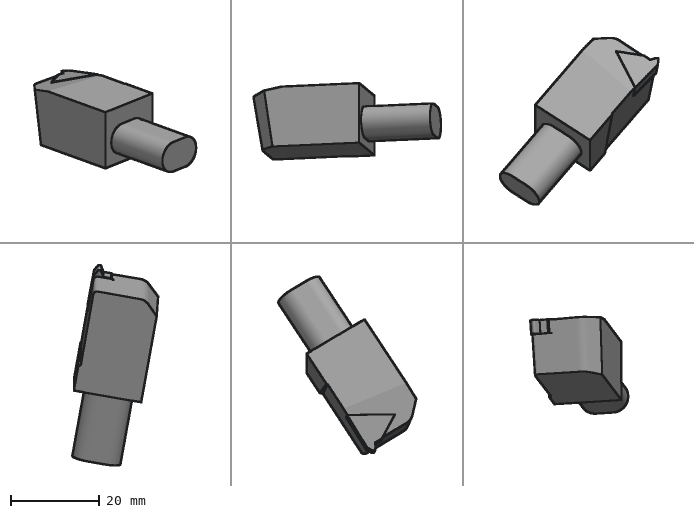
import cadquery as cq
import math

total_length = 43.35
total_width = 15.5
head_length = 27.3
head_height = 13.8

shank_width = 11.15
shank_height = 7.25
shank_center_y = 7.5
shank_center_z = 5.75

fold_x_at_front = 9.3
fold_x_at_back = 11.6
rake_slope = math.tan(math.radians(10))

nose_x = 1.65
corner_cut = 3.5
corner_radius = 3.0
back_corner_radius = 0.85
relief_depth = 0.15
relief_end_x = 18.4

insert_thickness = 3.15
insert_proud = 0.11
insert_front_x = 1.47
insert_corner_y = 11.53
tip_center_y = 14.4
tip_radius = 0.45
insert_vertex_x = 4.65
triangle_angle = math.radians(60)

fold_skew = (fold_x_at_back - fold_x_at_front) / total_width


def rake_height(x, y):
    """Z of the rake face, extended without end, above a plan position."""
    return head_height + rake_slope * (x - fold_x_at_front - fold_skew * y)


rake_plane = cq.Plane(
    origin=(0, 0, rake_height(0, 0)),
    xDir=(1, 0, rake_slope),
    normal=(-rake_slope, rake_slope * fold_skew, 1),
)


def on_rake(x, y):
    """Rake-plane coordinates of the point above a plan position."""
    local = rake_plane.toLocalCoords(cq.Vector(x, y, rake_height(x, y)))
    return local.x, local.y


def make_nose_envelope():
    """Prism square to the rake face that trims the nose and relieves its back side."""
    margin = total_width
    relief_y = total_width - relief_depth
    front_corner = (nose_x, corner_cut)
    back_corner = (nose_x, relief_y)
    outline = [
        front_corner,
        (nose_x + corner_cut + margin, -margin),
        (total_length, -margin),
        (total_length, total_width + margin),
        (relief_end_x + margin, relief_y + margin),
        (relief_end_x, relief_y),
        back_corner,
    ]
    envelope = (
        cq.Workplane(rake_plane)
        .polyline([on_rake(*point) for point in outline])
        .close()
        .extrude(total_length, both=True)
    )
    for corner, radius in ((front_corner, corner_radius), (back_corner, back_corner_radius)):
        point = rake_plane.toWorldCoords(on_rake(*corner))
        along_normal = cq.selectors.ParallelDirSelector(rake_plane.zDir)
        nearest = cq.selectors.NearestToPointSelector(point.toTuple())
        envelope = envelope.edges(along_normal).edges(nearest).fillet(radius)
    return envelope


def make_head():
    block = cq.Workplane("XY").box(head_length, total_width, head_height, centered=False)
    above_rake = (
        cq.Workplane(rake_plane)
        .rect(2 * total_length, 2 * total_length)
        .extrude(total_length)
    )
    return block.cut(above_rake).intersect(make_nose_envelope())


def make_shank():
    return (
        cq.Workplane("YZ", origin=(head_length, 0, 0))
        .center(shank_center_y, shank_center_z)
        .slot2D(shank_width, shank_height)
        .extrude(total_length - head_length)
    )


def make_insert():
    """Triangular insert with a rounded tip that overhangs the nose."""
    tip_x = insert_proud * rake_slope
    arc_end_x = tip_x + tip_radius * (1 - math.cos(triangle_angle))
    arc_half_width = tip_radius * math.sin(triangle_angle)
    flank_half_width = arc_half_width + (insert_front_x - arc_end_x) / math.tan(triangle_angle)
    back_y = tip_center_y + flank_half_width

    side_rise = math.tan(triangle_angle)
    vertex_y = insert_corner_y - side_rise * (insert_vertex_x - insert_front_x)
    back_end_x = insert_vertex_x + (back_y - vertex_y) / side_rise

    return (
        cq.Workplane(rake_plane)
        .workplane(offset=insert_proud)
        .moveTo(*on_rake(arc_end_x, tip_center_y + arc_half_width))
        .threePointArc(
            on_rake(tip_x, tip_center_y),
            on_rake(arc_end_x, tip_center_y - arc_half_width),
        )
        .lineTo(*on_rake(insert_front_x, tip_center_y - flank_half_width))
        .lineTo(*on_rake(insert_front_x, insert_corner_y))
        .lineTo(*on_rake(insert_vertex_x, vertex_y))
        .lineTo(*on_rake(back_end_x, back_y))
        .lineTo(*on_rake(insert_front_x, back_y))
        .close()
        .extrude(-insert_thickness)
    )


insert = make_insert()
holder = make_head().union(make_shank()).cut(insert).solids()

result = cq.Compound.makeCompound([holder.val(), insert.val()])